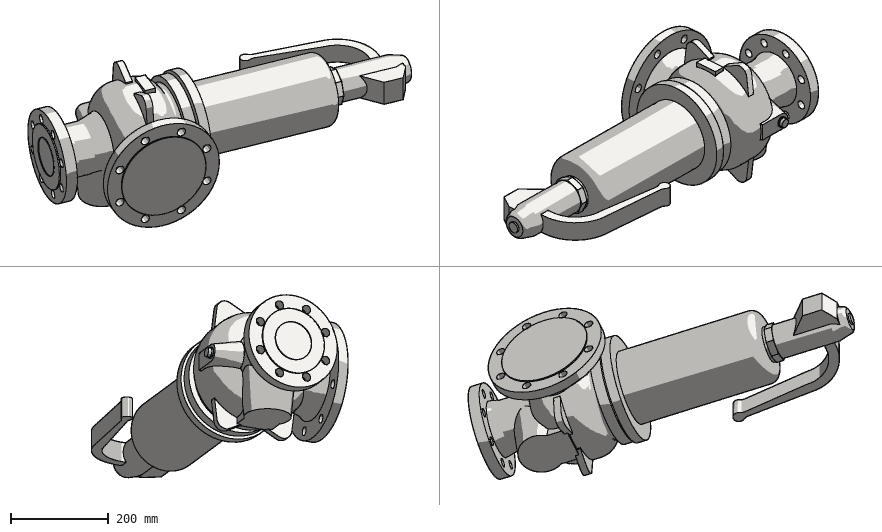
import cadquery as cq
import math


OVERALL_WIDTH = 310.33
OVERALL_LENGTH = 811.0

INLET_FLANGE_RADIUS = 100.0
INLET_FLANGE_BACK = 27.5
INLET_FACE_RADIUS = 70.0
INLET_BOLT_CIRCLE = 160.0
SEAT_RADIUS = 41.0
SEAT_DEPTH = 2.0
OUTLET_FLANGE_RADIUS = 125.0
OUTLET_FACE_X = 160.0
OUTLET_FLANGE_BACK = 135.5
OUTLET_FACE_RADIUS = 94.0
OUTLET_BOLT_CIRCLE = 210.0
OUTLET_Y = 195.0
RAISED_FACE = 3.0
BOLT_HOLE = 18.0
BOLT_COUNT = 8

NECK_RADIUS = 56.0
NECK_ROOT_RADIUS = 61.0
NECK_START = 50.5
NECK_END = 86.5
FLARE_RADIUS = 68.0
BODY_RADIUS = 118.5
BOWL_START = 182.0
BOWL_ARC = 59.0
SHOULDER_START = 218.0
SHOULDER_ARC = 48.75
COLLAR_RADIUS = 94.5
COLLAR_SAG = 4.5
FLARE_SAG = 0.8

NOZZLE_RADIUS = 72.5
NOZZLE_END = 106.0
NOZZLE_FLARE_RADIUS = 85.0
NOZZLE_FLARE_SAG = 2.5

BODY_FLANGE_RADIUS = 107.5
BODY_FLANGE_START = 274.0
BODY_FLANGE_END = 297.0
GASKET_RADIUS = 89.0
BONNET_FLANGE_RADIUS = 112.5
BONNET_FLANGE_START = 301.0
BONNET_FLANGE_END = 321.5
BONNET_RADIUS = 78.5
BONNET_TOP = 627.0
BONNET_FILLET = 20.0

NUT_CORNER_RADIUS = 40.5
NUT_SIDES = 8
NUT_START = 632.5
NUT_END = 648.5
NUT_SEAT_RADIUS = 38.0
CAP_RADIUS = 36.3
CAP_TAPER_START = 772.5
CAP_SHOULDER_RADIUS = 29.0
CAP_SHOULDER = 800.0
CAP_TOP_RADIUS = 23.0
CAP_TOP = 807.0
BUTTON_RADIUS = 12.0

LEVER_WIDTH = 42.5
LEVER_BEND = (-40.0, 668.0)
LEVER_OUTER_BEND = 92.0
LEVER_INNER_BEND = 70.0
LEVER_TIP_WIDTH = 12.5
KNOB_RADIUS = 12.0
KNOB_X = OUTLET_FACE_X - OVERALL_WIDTH + KNOB_RADIUS
KNOB_Y = 505.5
KNOB_FILLET = 18.0
BRACKET_WIDTH = 55.0
BRACKET_OUTER_X = 65.0
BRACKET_TOP = 790.0
BRACKET_TOP_X = 31.5
BRACKET_OUTER_TOP = 770.0
BRACKET_OUTER_BOTTOM = 727.5
BRACKET_ROOT_X = 23.5
BRACKET_BOTTOM = 690.5

EAR_SPAN = 280.0
EAR_THICKNESS = 15.0
EAR_TIP_RADIUS = 20.0
EAR_TIP_X = 65.0
EAR_INNER_SLOPE = 27.0
EAR_OUTER_SLOPE = 7.0
EAR_INNER_X = 21.0
EAR_OUTER_X = 91.5

PAD_LENGTH = 52.5
PAD_WIDTH = 23.5
PAD_Y = 222.0
PAD_TOP = 124.0

DRAIN_Y = 137.5
DRAIN_FACE_X = -122.0
DRAIN_ROOT_X = -62.0
DRAIN_RADIUS = 18.5
DRAIN_DRAFT = 13.6
DRAIN_TOP = OUTLET_Y
PLUG_COLLAR_RADIUS = 11.5
PLUG_COLLAR_THICKNESS = 3.0
PLUG_RADIUS = 9.5
PLUG_LENGTH = 10.5

FOOT_Y = 125.0
FOOT_BOTTOM = -OUTLET_FLANGE_RADIUS
FOOT_TOP = -20.0
FOOT_RADIUS = 48.5
FOOT_TAPER = 5.7
FOOT_WEB_WIDTH = 80.0


def cylinder_y(radius, start, end):
    """Cylinder on the stem axis."""
    return cq.Workplane("XZ", origin=(0, start, 0)).circle(radius).extrude(start - end)


def cylinder_x(radius, start, end, y):
    """Cylinder along X at the given height on the stem axis."""
    return cq.Workplane("YZ", origin=(start, y, 0)).circle(radius).extrude(end - start)


def bowl_point(angle):
    """Point on the lower bowl arc, with the angle measured down from the radial direction."""
    x = BODY_RADIUS - BOWL_ARC + BOWL_ARC * math.cos(angle)
    return x, BOWL_START - BOWL_ARC * math.sin(angle)


def make_body():
    bowl_angle = math.acos(1 - (BODY_RADIUS - FLARE_RADIUS) / BOWL_ARC)
    shoulder_angle = math.acos(1 - (BODY_RADIUS - COLLAR_RADIUS) / SHOULDER_ARC)
    shoulder_end = SHOULDER_START + SHOULDER_ARC * math.sin(shoulder_angle)
    flare_end_x, flare_end_y = bowl_point(bowl_angle)
    flare_mid = (
        (NECK_RADIUS + flare_end_x) / 2 - FLARE_SAG,
        (NECK_END + flare_end_y) / 2,
    )
    collar_mid = (
        COLLAR_RADIUS - COLLAR_SAG,
        (shoulder_end + BODY_FLANGE_START) / 2,
    )
    shoulder_mid_x = BODY_RADIUS - SHOULDER_ARC * (1 - math.cos(shoulder_angle / 2))
    shoulder_mid_y = SHOULDER_START + SHOULDER_ARC * math.sin(shoulder_angle / 2)
    return (
        cq.Workplane("XY")
        .moveTo(0, 0)
        .lineTo(INLET_FACE_RADIUS, 0)
        .lineTo(INLET_FACE_RADIUS, RAISED_FACE)
        .lineTo(INLET_FLANGE_RADIUS, RAISED_FACE)
        .lineTo(INLET_FLANGE_RADIUS, INLET_FLANGE_BACK)
        .lineTo(NECK_ROOT_RADIUS, INLET_FLANGE_BACK)
        .lineTo(NECK_RADIUS, NECK_START)
        .lineTo(NECK_RADIUS, NECK_END)
        .threePointArc(flare_mid, bowl_point(bowl_angle))
        .threePointArc(bowl_point(bowl_angle / 2), (BODY_RADIUS, BOWL_START))
        .lineTo(BODY_RADIUS, SHOULDER_START)
        .threePointArc((shoulder_mid_x, shoulder_mid_y), (COLLAR_RADIUS, shoulder_end))
        .threePointArc(collar_mid, (COLLAR_RADIUS, BODY_FLANGE_START))
        .lineTo(BODY_FLANGE_RADIUS, BODY_FLANGE_START)
        .lineTo(BODY_FLANGE_RADIUS, BODY_FLANGE_END)
        .lineTo(0, BODY_FLANGE_END)
        .close()
        .revolve(360, (0, 0, 0), (0, 1, 0))
    )


def make_outlet():
    flare_mid = (
        (NOZZLE_END + OUTLET_FLANGE_BACK) / 2,
        OUTLET_Y + (NOZZLE_RADIUS + NOZZLE_FLARE_RADIUS) / 2 - NOZZLE_FLARE_SAG,
    )
    return (
        cq.Workplane("XY")
        .moveTo(0, OUTLET_Y)
        .lineTo(0, OUTLET_Y + NOZZLE_RADIUS)
        .lineTo(NOZZLE_END, OUTLET_Y + NOZZLE_RADIUS)
        .threePointArc(flare_mid, (OUTLET_FLANGE_BACK, OUTLET_Y + NOZZLE_FLARE_RADIUS))
        .lineTo(OUTLET_FLANGE_BACK, OUTLET_Y + OUTLET_FLANGE_RADIUS)
        .lineTo(OUTLET_FACE_X - RAISED_FACE, OUTLET_Y + OUTLET_FLANGE_RADIUS)
        .lineTo(OUTLET_FACE_X - RAISED_FACE, OUTLET_Y + OUTLET_FACE_RADIUS)
        .lineTo(OUTLET_FACE_X, OUTLET_Y + OUTLET_FACE_RADIUS)
        .lineTo(OUTLET_FACE_X, OUTLET_Y)
        .close()
        .revolve(360, (0, OUTLET_Y, 0), (1, OUTLET_Y, 0))
    )


def bolt_holes(plane, origin, bolt_circle, depth):
    """Cutters for a bolt circle whose holes straddle the centre lines."""
    return (
        cq.Workplane(plane, origin=origin)
        .polarArray(bolt_circle / 2, 180 / BOLT_COUNT, 360, BOLT_COUNT)
        .circle(BOLT_HOLE / 2)
        .extrude(depth)
    )


def make_bonnet():
    gasket = cylinder_y(GASKET_RADIUS, BODY_FLANGE_END, BONNET_FLANGE_START)
    flange = cylinder_y(BONNET_FLANGE_RADIUS, BONNET_FLANGE_START, BONNET_FLANGE_END)
    barrel = cylinder_y(BONNET_RADIUS, BONNET_FLANGE_END, BONNET_TOP)
    barrel = barrel.faces(">Y").edges().fillet(BONNET_FILLET)
    return gasket.union(flange).union(barrel)


def make_cap():
    seat = cylinder_y(NUT_SEAT_RADIUS, BONNET_TOP, NUT_START)
    nut = (
        cq.Workplane("XZ", origin=(0, NUT_START, 0))
        .polygon(NUT_SIDES, 2 * NUT_CORNER_RADIUS)
        .extrude(NUT_START - NUT_END)
    )
    cap = (
        cq.Workplane("XY")
        .moveTo(0, NUT_END)
        .lineTo(CAP_RADIUS, NUT_END)
        .lineTo(CAP_RADIUS, CAP_TAPER_START)
        .lineTo(CAP_SHOULDER_RADIUS, CAP_SHOULDER)
        .tangentArcPoint((CAP_TOP_RADIUS, CAP_TOP), relative=False)
        .lineTo(BUTTON_RADIUS, CAP_TOP)
        .lineTo(BUTTON_RADIUS, OVERALL_LENGTH)
        .lineTo(0, OVERALL_LENGTH)
        .close()
        .revolve(360, (0, 0, 0), (0, 1, 0))
    )
    return seat.union(nut).union(cap)


def make_lever():
    bend_x, bend_y = LEVER_BEND
    diagonal = math.sqrt(0.5)
    outer_mid = (bend_x - LEVER_OUTER_BEND * diagonal, bend_y + LEVER_OUTER_BEND * diagonal)
    inner_mid = (bend_x - LEVER_INNER_BEND * diagonal, bend_y + LEVER_INNER_BEND * diagonal)
    arm = (
        cq.Workplane("XY", origin=(0, 0, -LEVER_WIDTH / 2))
        .moveTo(0, bend_y + LEVER_OUTER_BEND)
        .lineTo(bend_x, bend_y + LEVER_OUTER_BEND)
        .threePointArc(outer_mid, (bend_x - LEVER_OUTER_BEND, bend_y))
        .lineTo(KNOB_X - LEVER_TIP_WIDTH / 2, KNOB_Y)
        .lineTo(KNOB_X + LEVER_TIP_WIDTH / 2, KNOB_Y)
        .lineTo(bend_x - LEVER_INNER_BEND, bend_y)
        .threePointArc(inner_mid, (bend_x, bend_y + LEVER_INNER_BEND))
        .lineTo(0, bend_y + LEVER_INNER_BEND)
        .close()
        .extrude(LEVER_WIDTH)
    )
    knob = (
        cq.Workplane("XY", origin=(KNOB_X, KNOB_Y, -LEVER_WIDTH / 2))
        .circle(KNOB_RADIUS)
        .extrude(LEVER_WIDTH)
    )
    lever = arm.union(knob)
    joint = cq.selectors.BoxSelector(
        (KNOB_X - KNOB_RADIUS, KNOB_Y, -LEVER_WIDTH),
        (KNOB_X + KNOB_RADIUS, KNOB_Y + KNOB_RADIUS, LEVER_WIDTH),
    )
    return lever.edges("|Z").edges(joint).fillet(KNOB_FILLET)


def make_bracket():
    return (
        cq.Workplane("XY", origin=(0, 0, -BRACKET_WIDTH / 2))
        .moveTo(0, BRACKET_TOP)
        .lineTo(BRACKET_TOP_X, BRACKET_TOP)
        .lineTo(BRACKET_OUTER_X, BRACKET_OUTER_TOP)
        .lineTo(BRACKET_OUTER_X, BRACKET_OUTER_BOTTOM)
        .lineTo(BRACKET_ROOT_X, BRACKET_BOTTOM)
        .lineTo(0, BRACKET_BOTTOM)
        .close()
        .extrude(BRACKET_WIDTH)
    )


def make_ears():
    """Four rounded ears, mirrored about the stem axis in X and in Z."""
    inner = math.radians(EAR_INNER_SLOPE)
    outer = math.radians(EAR_OUTER_SLOPE)
    tip_z = EAR_SPAN / 2 - EAR_TIP_RADIUS
    inner_x = EAR_TIP_X - EAR_TIP_RADIUS * math.sin(inner)
    inner_z = tip_z + EAR_TIP_RADIUS * math.cos(inner)
    outer_x = EAR_TIP_X + EAR_TIP_RADIUS * math.cos(outer)
    outer_z = tip_z + EAR_TIP_RADIUS * math.sin(outer)
    ear = (
        cq.Workplane("XZ", origin=(0, OUTLET_Y + EAR_THICKNESS / 2, 0))
        .moveTo(EAR_INNER_X, 0)
        .lineTo(EAR_INNER_X, inner_z - (inner_x - EAR_INNER_X) * math.tan(inner))
        .lineTo(inner_x, inner_z)
        .threePointArc((EAR_TIP_X, EAR_SPAN / 2), (outer_x, outer_z))
        .lineTo(EAR_OUTER_X, outer_z - (EAR_OUTER_X - outer_x) / math.tan(outer))
        .lineTo(EAR_OUTER_X, 0)
        .close()
        .extrude(EAR_THICKNESS)
    )
    upper = ear.union(ear.mirror("YZ"))
    return upper.union(upper.mirror("XY"))


def make_pad():
    return (
        cq.Workplane("XY", origin=(0, PAD_Y, 0))
        .rect(PAD_LENGTH, PAD_WIDTH)
        .extrude(PAD_TOP)
    )


def make_drain_boss():
    """Drafted boss, round at its lower end, with a plug on its face."""
    boss = (
        cq.Workplane("YZ", origin=(DRAIN_FACE_X, 0, 0))
        .moveTo(DRAIN_TOP, DRAIN_RADIUS)
        .lineTo(DRAIN_Y, DRAIN_RADIUS)
        .threePointArc((DRAIN_Y - DRAIN_RADIUS, 0), (DRAIN_Y, -DRAIN_RADIUS))
        .lineTo(DRAIN_TOP, -DRAIN_RADIUS)
        .close()
        .extrude(DRAIN_ROOT_X - DRAIN_FACE_X, taper=-DRAIN_DRAFT)
    )
    collar = cylinder_x(PLUG_COLLAR_RADIUS, DRAIN_FACE_X - PLUG_COLLAR_THICKNESS, DRAIN_FACE_X, DRAIN_Y)
    plug = cylinder_x(PLUG_RADIUS, DRAIN_FACE_X - PLUG_LENGTH, DRAIN_FACE_X, DRAIN_Y)
    return boss.union(collar).union(plug)


def make_foot():
    """Round foot that widens upward, with a straight web running to the ears."""
    height = FOOT_TOP - FOOT_BOTTOM
    post = (
        cq.Workplane("XY", origin=(0, FOOT_Y, FOOT_BOTTOM))
        .circle(FOOT_RADIUS)
        .extrude(height, taper=-FOOT_TAPER)
    )
    web_length = OUTLET_Y - FOOT_Y
    web = (
        cq.Workplane("XY", origin=(0, FOOT_Y + web_length / 2, FOOT_BOTTOM))
        .rect(FOOT_WEB_WIDTH, web_length)
        .extrude(height)
    )
    return post.union(web)


valve = make_body()
for feature in (
    make_outlet(),
    make_bonnet(),
    make_cap(),
    make_lever(),
    make_bracket(),
    make_ears(),
    make_pad(),
    make_drain_boss(),
    make_foot(),
):
    valve = valve.union(feature)

inlet_holes = bolt_holes("XZ", (0, 0, 0), INLET_BOLT_CIRCLE, -INLET_FLANGE_BACK)
outlet_holes = bolt_holes(
    "YZ",
    (OUTLET_FLANGE_BACK, OUTLET_Y, 0),
    OUTLET_BOLT_CIRCLE,
    OUTLET_FACE_X - OUTLET_FLANGE_BACK,
)
seat_recess = cylinder_y(SEAT_RADIUS, 0, SEAT_DEPTH)
result = valve.cut(seat_recess).cut(inlet_holes).cut(outlet_holes)